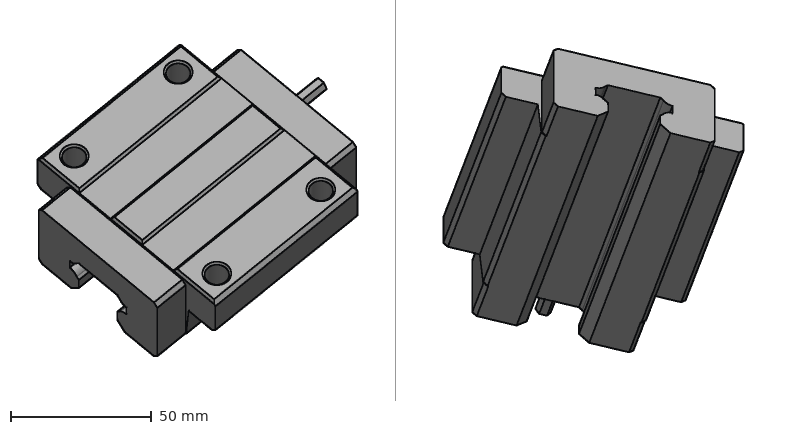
import cadquery as cq
import math

total_length = 111.5
body_height = 35.0
flange_width = 90.0
edge_chamfer = 1.7

block_length = 71.1
flange_bottom = 17.1
leg_top_half_width = 31.4
leg_bottom_half_width = 30.2

pad_height = 1.0
pad_floor = body_height - pad_height
middle_pad_width = 16.1
side_pad_inner_x = 23.7
side_pad_outer_x = flange_width / 2 - (edge_chamfer - pad_height)

cap_length = 14.2
cap_width = 59.9
cap_height = 33.0
body_length = block_length + 2 * cap_length

channel_middle = 13.8
groove_half_height = 2.0
groove_half_width = 14.3
throat_half_width = 9.7
bump_radius = 4.0
ledge = 1.1
mouth_chamfer = 3.8

hole_diameter = 8.7
hole_countersink_diameter = 10.3
hole_depth = 13.4
hole_spacing_x = 72.0
hole_spacing_y = 52.0
drill_point_angle = 118.0

nipple_across_flats = 5.0
nipple_height = 28.1
nipple_length = total_length - body_length


def extrude_along_y(outline, length):
    """Extrude an XZ outline symmetrically about Y = 0."""
    return outline.extrude(length / 2, both=True)


def mirrored_outline(right_side):
    """Closed XZ outline from the points of its +X half, listed in order."""
    left_side = [(-x, z) for x, z in reversed(right_side)]
    return cq.Workplane("XZ").polyline(right_side + left_side).close()


def make_block():
    half_width = flange_width / 2
    right_side = [
        (leg_bottom_half_width - edge_chamfer, 0),
        (leg_bottom_half_width, edge_chamfer),
        (leg_top_half_width, flange_bottom),
        (half_width - edge_chamfer, flange_bottom),
        (half_width, flange_bottom + edge_chamfer),
        (half_width, body_height - edge_chamfer),
        (side_pad_outer_x, pad_floor),
    ]
    return extrude_along_y(mirrored_outline(right_side), block_length)


def make_pad(center_x, width):
    """Raised pad with 45 degree flanks on all four sides."""
    return (
        cq.Workplane("XY", origin=(center_x, 0, pad_floor))
        .rect(width, block_length)
        .extrude(pad_height, taper=45)
    )


def make_end_caps():
    """One bar over the full body length; its ends stand out of the block as caps."""
    return (
        cq.Workplane("XY")
        .box(cap_width, body_length, cap_height, centered=(True, True, False))
        .edges("|Y")
        .chamfer(edge_chamfer)
    )


def make_rail_channel():
    """Channel half with two rounded ledges facing its side groove, mirrored about X = 0."""
    tip_x = throat_half_width + ledge
    tip_angle = math.asin((groove_half_width - tip_x) / bump_radius)
    arc_middle_x = groove_half_width - bump_radius * math.sin(tip_angle / 2)
    arc_middle_offset = groove_half_height + bump_radius * (1 - math.cos(tip_angle / 2))
    tip_offset = groove_half_height + bump_radius * (1 - math.cos(tip_angle))
    throat_offset = tip_offset + ledge
    half = (
        cq.Workplane("XZ")
        .moveTo(0, 0)
        .lineTo(throat_half_width + mouth_chamfer, 0)
        .lineTo(throat_half_width, mouth_chamfer)
        .lineTo(throat_half_width, channel_middle - throat_offset)
        .lineTo(tip_x, channel_middle - tip_offset)
        .threePointArc(
            (arc_middle_x, channel_middle - arc_middle_offset),
            (groove_half_width, channel_middle - groove_half_height),
        )
        .lineTo(groove_half_width, channel_middle + groove_half_height)
        .threePointArc(
            (arc_middle_x, channel_middle + arc_middle_offset),
            (tip_x, channel_middle + tip_offset),
        )
        .lineTo(throat_half_width, channel_middle + throat_offset)
        .lineTo(0, channel_middle + throat_offset)
        .close()
    )
    right_half = extrude_along_y(half, body_length)
    return right_half.union(right_half.mirror("YZ"))


def make_mounting_holes():
    """Blind drilled holes with a conical bottom and a 45 degree countersink."""
    radius = hole_diameter / 2
    countersink_radius = hole_countersink_diameter / 2
    countersink_depth = countersink_radius - radius
    tip_depth = hole_depth + radius / math.tan(math.radians(drill_point_angle / 2))
    profile = [
        (0, 0),
        (countersink_radius, 0),
        (radius, -countersink_depth),
        (radius, -hole_depth),
        (0, -tip_depth),
    ]
    hole = cq.Workplane("XZ").polyline(profile).close().revolve(360, (0, 0), (0, 1))
    centers = (
        cq.Workplane("XY", origin=(0, 0, body_height))
        .rarray(hole_spacing_x, hole_spacing_y, 2, 2)
    )
    return centers.eachpoint(hole.val(), combine=False)


def make_nipple():
    """Hexagonal stub behind the rear cap, with its flats on top and bottom."""
    across_corners = nipple_across_flats / math.cos(math.radians(30))
    return (
        cq.Workplane("XZ", origin=(0, body_length / 2, nipple_height))
        .polygon(6, across_corners)
        .extrude(-nipple_length)
    )


side_pad_width = side_pad_outer_x - side_pad_inner_x
side_pad_center = (side_pad_outer_x + side_pad_inner_x) / 2

result = make_block().union(make_end_caps())
result = result.union(make_pad(0, middle_pad_width))
for side in (-1, 1):
    result = result.union(make_pad(side * side_pad_center, side_pad_width))
result = result.cut(make_rail_channel())
result = result.cut(make_mounting_holes())
result = result.union(make_nipple())